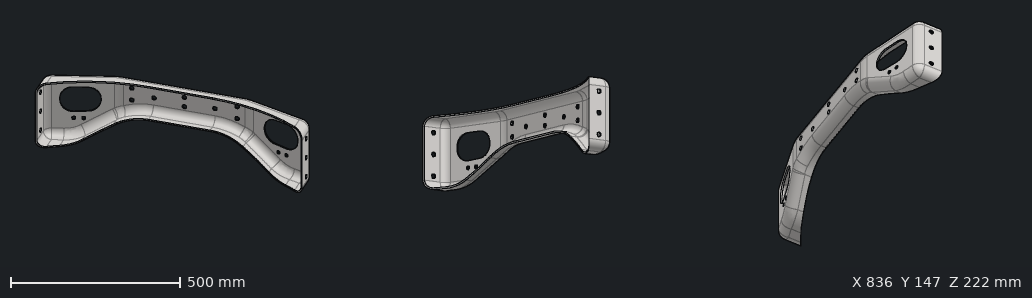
import cadquery as cq
import math

WIDTH = 836.0
DEPTH = 147.0
HEIGHT = 222.0
WALL = 5.0

ARCH_HEIGHT = 104.5
ARCH_ANGLE = 32.2
ARCH_FOOT_X = 318.5
FOOT_RADIUS = 120.0
ARCH_RADIUS = 194.0

BEND_X = 205.0
SWEEP_ANGLE = 16.8
BEND_RADIUS = 100.0
EDGE_RADIUS = 30.0

FLANGE_DEPTH = 48.5
EDGE_STRAIGHT_X = 96.0

HOLE_DIAMETER = 13.0
SMALL_HOLE_DIAMETER = 11.0
CENTER_HOLE_DROPS = (43.5, 75.0)
OUTER_HOLE_X = 165.0
OUTER_HOLE_DROPS = (43.5, 84.5)
INNER_HOLE_X = 95.0
INNER_HOLE_DROP = 63.5
SMALL_HOLE_XS = (306.0, 334.0)
SMALL_HOLE_DROP = 156.0
END_HOLE_SETBACK = 37.0
END_HOLE_PITCH = 65.0

WINDOW_INNER_X = 257.0
WINDOW_OUTER_X = 374.0
WINDOW_TOP_DROP = 50.0
WINDOW_INNER_DROP = 129.5
WINDOW_OUTER_DROP = 137.0
WINDOW_RADIUS = 40.0

MARGIN = 42.0

half_width = WIDTH / 2
sweep_slope = math.tan(math.radians(SWEEP_ANGLE))


def rounded_polygon(corners):
    """Closed wire through (x, y, radius) corners; a radius of 0 leaves the corner sharp."""
    wire = cq.Wire.makePolygon([cq.Vector(x, y, 0) for x, y, _ in corners], close=True)
    for x, y, radius in corners:
        if radius > 0:
            corner = cq.Vector(x, y, 0)
            vertex = min(wire.Vertices(), key=lambda v: (v.Center() - corner).Length)
            wire = wire.fillet2D(radius, [vertex])
    return wire


def extrude_wire(wire, length):
    return cq.Workplane(cq.Solid.extrudeLinear(wire, [], cq.Vector(0, 0, length)))


def front_outline():
    arch_top_x = ARCH_FOOT_X - ARCH_HEIGHT / math.tan(math.radians(ARCH_ANGLE))
    return rounded_polygon([
        (-half_width, HEIGHT, 0),
        (-half_width, 0, 0),
        (-ARCH_FOOT_X, 0, FOOT_RADIUS),
        (-arch_top_x, ARCH_HEIGHT, ARCH_RADIUS),
        (arch_top_x, ARCH_HEIGHT, ARCH_RADIUS),
        (ARCH_FOOT_X, 0, FOOT_RADIUS),
        (half_width, 0, 0),
        (half_width, HEIGHT, 0),
    ])


def web_outline():
    end_x = half_width + MARGIN
    end_y = -(end_x - BEND_X) * sweep_slope
    front_y = -DEPTH - MARGIN
    return rounded_polygon([
        (-end_x, front_y, 0),
        (-end_x, end_y, 0),
        (-BEND_X, 0, BEND_RADIUS),
        (BEND_X, 0, BEND_RADIUS),
        (end_x, end_y, 0),
        (end_x, front_y, 0),
    ])


def pan_block(inset):
    """Solid pan with its outer surface moved inwards by inset."""
    outline = front_outline()
    web = web_outline()
    if inset > 0:
        outline = outline.offset2D(-inset)[0]
        web = web.offset2D(-inset)[0]
    prism = extrude_wire(outline, DEPTH + 2 * MARGIN)
    prism = prism.rotate((0, 0, 0), (1, 0, 0), 90).translate((0, MARGIN, 0))
    sweep = extrude_wire(web, HEIGHT + 2 * MARGIN).translate((0, 0, -MARGIN))
    block = prism.intersect(sweep)
    side_x = half_width - inset
    top_z = HEIGHT - inset
    end_y = -(side_x - BEND_X) * sweep_slope
    points_on_edges = [(0, -inset, top_z), (0, -inset, ARCH_HEIGHT + inset)]
    for x in (-side_x, side_x):
        points_on_edges.append((x, end_y, HEIGHT / 2))
        points_on_edges.append((x, -DEPTH, inset))
        points_on_edges.append((x, -DEPTH, top_z))
    rounded_edges = block.newObject([
        block.edges(cq.selectors.NearestToPointSelector(point)).val() for point in points_on_edges
    ])
    return rounded_edges.fillet(EDGE_RADIUS - inset)


def front_trim():
    """Everything in front of the curved flange edge."""
    run = half_width - EDGE_STRAIGHT_X
    rise = DEPTH - FLANGE_DEPTH
    radius = (run**2 + rise**2) / (2 * rise)
    half_sweep = math.asin(run / radius) / 2
    mid_x = EDGE_STRAIGHT_X + radius * math.sin(half_sweep)
    mid_y = -FLANGE_DEPTH - radius * (1 - math.cos(half_sweep))
    front_y = -DEPTH - 2 * MARGIN
    return (
        cq.Workplane("XY", origin=(0, 0, -MARGIN))
        .moveTo(-half_width, -DEPTH)
        .threePointArc((-mid_x, mid_y), (-EDGE_STRAIGHT_X, -FLANGE_DEPTH))
        .lineTo(EDGE_STRAIGHT_X, -FLANGE_DEPTH)
        .threePointArc((mid_x, mid_y), (half_width, -DEPTH))
        .lineTo(half_width + MARGIN, -DEPTH)
        .lineTo(half_width + MARGIN, front_y)
        .lineTo(-half_width - MARGIN, front_y)
        .lineTo(-half_width - MARGIN, -DEPTH)
        .close()
        .extrude(HEIGHT + 2 * MARGIN)
    )


def middle_holes():
    points = [(0, HEIGHT - drop) for drop in CENTER_HOLE_DROPS]
    for side in (-1, 1):
        points += [(side * OUTER_HOLE_X, HEIGHT - drop) for drop in OUTER_HOLE_DROPS]
        points.append((side * INNER_HOLE_X, HEIGHT - INNER_HOLE_DROP))
    return (
        cq.Workplane("XZ").pushPoints(points)
        .circle(HOLE_DIAMETER / 2).extrude(MARGIN, both=True)
    )


def end_holes():
    middle_z = HEIGHT / 2
    points = [(END_HOLE_SETBACK - DEPTH, middle_z + i * END_HOLE_PITCH) for i in (-1, 0, 1)]
    return (
        cq.Workplane("YZ").pushPoints(points)
        .circle(HOLE_DIAMETER / 2).extrude(half_width + MARGIN, both=True)
    )


def swept_end_cuts():
    """Window and small holes through the right swept end, square to its surface."""
    stretch = 1 / math.cos(math.radians(SWEEP_ANGLE))
    plane = cq.Plane(
        origin=(BEND_X, 0, HEIGHT),
        xDir=(1, -sweep_slope, 0),
        normal=(-sweep_slope, -1, 0),
    )
    inner_x = (WINDOW_INNER_X - BEND_X) * stretch
    outer_x = (WINDOW_OUTER_X - BEND_X) * stretch
    window_outline = rounded_polygon([
        (inner_x, -WINDOW_TOP_DROP, WINDOW_RADIUS),
        (outer_x, -WINDOW_TOP_DROP, WINDOW_RADIUS),
        (outer_x, -WINDOW_OUTER_DROP, WINDOW_RADIUS),
        (inner_x, -WINDOW_INNER_DROP, WINDOW_RADIUS),
    ])
    window = (
        cq.Workplane(plane).add(window_outline.moved(plane.location)).toPending()
        .extrude(2 * WALL, both=True)
    )
    points = [((x - BEND_X) * stretch, -SMALL_HOLE_DROP) for x in SMALL_HOLE_XS]
    holes = (
        cq.Workplane(plane).pushPoints(points)
        .circle(SMALL_HOLE_DIAMETER / 2).extrude(2 * WALL, both=True)
    )
    return window.union(holes)


right_cuts = swept_end_cuts()
result = (
    pan_block(0)
    .cut(pan_block(WALL))
    .cut(front_trim())
    .cut(middle_holes())
    .cut(end_holes())
    .cut(right_cuts)
    .cut(right_cuts.mirror("YZ"))
)